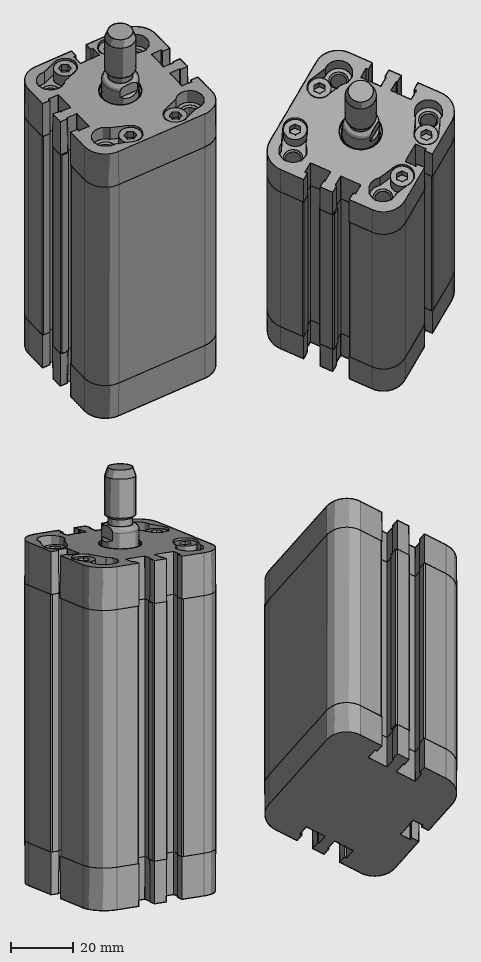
import cadquery as cq
import math

TOTAL_HEIGHT = 139.5
BODY_HEIGHT = 114.1
BODY_WIDTH = 49.0
HALF_WIDTH = BODY_WIDTH / 2
CORNER_RADIUS = 8.0
CAP_HEIGHT = 14.2
BARREL_TOP = BODY_HEIGHT - CAP_HEIGHT
CAP_DRAFT = 0.3

SLOT_OFFSET = 5.5
SLOT_DEPTH = 6.5
LIP_DEPTH = 2.9
SLOT_INNER_WIDTH = 7.1
SLOT_MOUTH_WIDTH = 5.5
LIP_CHAMFER = 0.4
CAP_MOUTH_WIDENING = 0.4

HOLE_POSITION = 16.2
HOLE_DIAMETER = 5.2
HOLE_CHAMFER = 0.5
HOLE_POCKET_DIAMETER = 9.0
SCREW_X = 19.3
SCREW_Y = 8.6
POCKET_WIDTH = 8.0
POCKET_DEPTH = 5.0
POCKET_FLOOR = BODY_HEIGHT - POCKET_DEPTH
HEAD_DIAMETER = 7.5
HEAD_HEIGHT = 4.3
SOCKET_ACROSS_FLATS = 3.5
SOCKET_DEPTH = 2.5

SHOULDER_DIAMETER = 12.0
SHOULDER_TOP = 120.7
SHOULDER_FILLET = 1.7
FLAT_WIDTH = 10.0
FLAT_BOTTOM = 116.3
FLAT_RUNOUT_SLOPE = 0.8
NECK_DIAMETER = 8.0
NECK_TOP = 122.9
THREAD_DIAMETER = 10.0
THREAD_BOTTOM = 123.7
TIP_DIAMETER = 8.1
TIP_HEIGHT = 2.8

WIPER_DIAMETER = 13.7
WIPER_DEPTH = 0.8
WIPER_CHAMFER = 0.1
CLEARANCE_DIAMETER = 12.5
CLEARANCE_DEPTH = 1.7


def square_block(height, draft):
    """Round-cornered block standing on Z = 0, narrowing upwards by the draft angle."""
    outline = cq.Sketch().rect(BODY_WIDTH, BODY_WIDTH).vertices().fillet(CORNER_RADIUS)
    return cq.Workplane("XY").placeSketch(outline).extrude(height, taper=draft)


def slot_cutter(mouth_left, mouth_right, height, draft):
    """T-slot running along Z in the +Y side, with its centre line at X = 0."""
    half_inner = SLOT_INNER_WIDTH / 2
    floor_y = HALF_WIDTH - SLOT_DEPTH
    lip_y = HALF_WIDTH - LIP_DEPTH
    outline = cq.Workplane("XY").polyline([
        (-half_inner, floor_y),
        (half_inner, floor_y),
        (half_inner, lip_y),
        (mouth_right, lip_y),
        (mouth_right, HALF_WIDTH),
        (mouth_left, HALF_WIDTH),
        (mouth_left, lip_y),
        (-half_inner, lip_y),
    ])
    return outline.close().extrude(height, taper=-draft)


def lip_chamfer_cutter(height):
    """Material to remove from both outer edges of a slot mouth in the +Y side."""
    half_mouth = SLOT_MOUTH_WIDTH / 2
    outline = cq.Workplane("XY").polyline([
        (-half_mouth, HALF_WIDTH - LIP_CHAMFER),
        (half_mouth, HALF_WIDTH - LIP_CHAMFER),
        (half_mouth + LIP_CHAMFER, HALF_WIDTH),
        (-half_mouth - LIP_CHAMFER, HALF_WIDTH),
    ])
    return outline.close().extrude(height)


def cut_slots(block, paired_slot, side_slot):
    """Cut a pair of slots into each Y side and one slot into the -X side."""
    left_slot = paired_slot.translate((-SLOT_OFFSET, 0, 0))
    right_slot = left_slot.mirror("YZ")
    for slot in (left_slot, right_slot):
        block = block.cut(slot).cut(slot.mirror("XZ"))
    return block.cut(side_slot.rotate((0, 0, 0), (0, 0, 1), 90))


def make_barrel():
    height = BARREL_TOP - CAP_HEIGHT
    half_mouth = SLOT_MOUTH_WIDTH / 2
    slot = slot_cutter(-half_mouth, half_mouth, height, 0).union(lip_chamfer_cutter(height))
    return cut_slots(square_block(height, 0), slot, slot).translate((0, 0, CAP_HEIGHT))


def plain_cap():
    """Drafted cap standing on Z = 0; its paired slots are wider towards the rib between them."""
    half_mouth = SLOT_MOUTH_WIDTH / 2
    paired_slot = slot_cutter(-half_mouth, half_mouth + CAP_MOUTH_WIDENING, CAP_HEIGHT, CAP_DRAFT)
    side_slot = slot_cutter(-half_mouth, half_mouth, CAP_HEIGHT, CAP_DRAFT)
    return cut_slots(square_block(CAP_HEIGHT, CAP_DRAFT), paired_slot, side_slot)


def make_rear_cap():
    return plain_cap().mirror("XY").translate((0, 0, CAP_HEIGHT))


def corner_pocket():
    """Round-ended pocket from screw to hole in the +X +Y corner, enlarged around the hole."""
    run_x = HOLE_POSITION - SCREW_X
    run_y = HOLE_POSITION - SCREW_Y
    length = math.hypot(run_x, run_y)
    heading = math.degrees(math.atan2(run_y, run_x))
    floor = cq.Workplane("XY").workplane(offset=POCKET_FLOOR)
    slot = (
        floor.center(SCREW_X + run_x / 2, SCREW_Y + run_y / 2)
        .slot2D(length + POCKET_WIDTH, POCKET_WIDTH, heading).extrude(POCKET_DEPTH)
    )
    hole_end = (
        floor.center(HOLE_POSITION, HOLE_POSITION)
        .circle(HOLE_POCKET_DIAMETER / 2).extrude(POCKET_DEPTH)
    )
    return slot.union(hole_end)


def corner_hole():
    """Chamfered hole from the pocket floor down through the cap in the +X +Y corner."""
    radius = HOLE_DIAMETER / 2
    rim_radius = radius + HOLE_CHAMFER
    profile = cq.Workplane("XZ").polyline([
        (0, BARREL_TOP),
        (radius, BARREL_TOP),
        (radius, POCKET_FLOOR - HOLE_CHAMFER),
        (rim_radius, POCKET_FLOOR),
        (0, POCKET_FLOOR),
    ])
    hole = profile.close().revolve(360, (0, 0, 0), (0, 1, 0))
    return hole.translate((HOLE_POSITION, HOLE_POSITION, 0))


def screw_head():
    """Socket screw head standing on the pocket floor in the +X +Y corner."""
    head = cq.Workplane("XY").workplane(offset=POCKET_FLOOR).center(SCREW_X, SCREW_Y)
    head = head.circle(HEAD_DIAMETER / 2).extrude(HEAD_HEIGHT)
    across_corners = SOCKET_ACROSS_FLATS / math.cos(math.pi / 6)
    return head.faces(">Z").workplane().polygon(6, across_corners).cutBlind(-SOCKET_DEPTH)


def in_all_corners(shape):
    across = shape.mirror("YZ")
    return [shape, across, shape.mirror("XZ"), across.mirror("XZ")]


def rod_opening():
    """Close-fitting rod bore that opens in steps at the top face."""
    bore_radius = SHOULDER_DIAMETER / 2
    clearance_radius = CLEARANCE_DIAMETER / 2
    wiper_radius = WIPER_DIAMETER / 2
    profile = cq.Workplane("XZ").polyline([
        (0, BARREL_TOP),
        (bore_radius, BARREL_TOP),
        (bore_radius, BODY_HEIGHT - CLEARANCE_DEPTH),
        (clearance_radius, BODY_HEIGHT - CLEARANCE_DEPTH),
        (clearance_radius, BODY_HEIGHT - WIPER_DEPTH),
        (wiper_radius, BODY_HEIGHT - WIPER_DEPTH),
        (wiper_radius, BODY_HEIGHT - WIPER_CHAMFER),
        (wiper_radius + WIPER_CHAMFER, BODY_HEIGHT),
        (0, BODY_HEIGHT),
    ])
    return profile.close().revolve(360, (0, 0, 0), (0, 1, 0))


def make_front_cap():
    cap = plain_cap().translate((0, 0, BARREL_TOP)).cut(rod_opening())
    for cutter in in_all_corners(corner_pocket()) + in_all_corners(corner_hole()):
        cap = cap.cut(cutter)
    for head in in_all_corners(screw_head()):
        cap = cap.union(head)
    return cap


def wrench_flat():
    """Material to remove on the +X side of the shoulder, with a sloping run-out at its lower end."""
    flat_x = FLAT_WIDTH / 2
    return (
        cq.Workplane("XZ")
        .polyline([
            (flat_x, SHOULDER_TOP),
            (flat_x, FLAT_BOTTOM),
            (SHOULDER_DIAMETER, FLAT_BOTTOM - FLAT_RUNOUT_SLOPE * (SHOULDER_DIAMETER - flat_x)),
            (SHOULDER_DIAMETER, SHOULDER_TOP),
        ])
        .close().extrude(SHOULDER_DIAMETER, both=True)
    )


def make_piston_rod():
    shoulder_radius = SHOULDER_DIAMETER / 2
    profile = cq.Workplane("XZ").moveTo(0, BARREL_TOP).lineTo(shoulder_radius, BARREL_TOP)
    profile = profile.lineTo(shoulder_radius, SHOULDER_TOP - SHOULDER_FILLET)
    profile = profile.radiusArc((shoulder_radius - SHOULDER_FILLET, SHOULDER_TOP), -SHOULDER_FILLET)
    profile = profile.polyline([
        (NECK_DIAMETER / 2, SHOULDER_TOP),
        (NECK_DIAMETER / 2, NECK_TOP),
        (THREAD_DIAMETER / 2, THREAD_BOTTOM),
        (THREAD_DIAMETER / 2, TOTAL_HEIGHT - TIP_HEIGHT),
        (TIP_DIAMETER / 2, TOTAL_HEIGHT),
        (0, TOTAL_HEIGHT),
    ], includeCurrent=True)
    rod = profile.close().revolve(360, (0, 0, 0), (0, 1, 0))
    flat = wrench_flat()
    return rod.cut(flat).cut(flat.mirror("YZ"))


rear_cap = make_rear_cap()
barrel = make_barrel()
front_cap = make_front_cap()
piston_rod = make_piston_rod()

result = cq.Compound.makeCompound([
    rear_cap.val(),
    barrel.val(),
    front_cap.val(),
    piston_rod.val(),
])